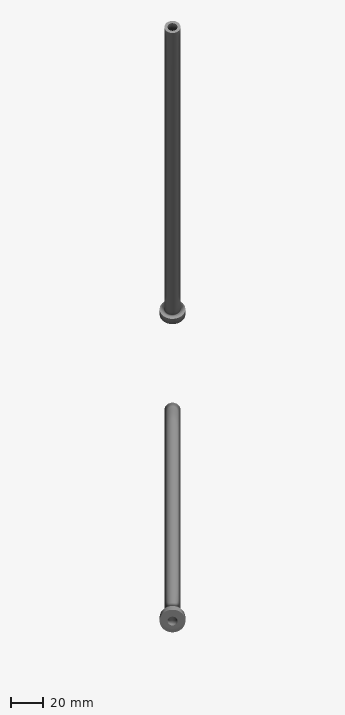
import cadquery as cq

total_length = 275.0
head_diameter = 16.0
head_height = 5.0
tube_diameter = 10.0
bore_diameter = 6.2
root_fillet = 0.5

tube_radius = tube_diameter / 2
head_radius = head_diameter / 2
bore_radius = bore_diameter / 2


def make_sleeve():
    """Revolve the half section of the headed sleeve about the Z axis, head at the bottom."""
    half_section = (
        cq.Workplane("XZ")
        .moveTo(bore_radius, 0)
        .lineTo(head_radius, 0)
        .lineTo(head_radius, head_height)
        .lineTo(tube_radius + root_fillet, head_height)
        .radiusArc((tube_radius, head_height + root_fillet), root_fillet)
        .lineTo(tube_radius, total_length)
        .lineTo(bore_radius, total_length)
        .close()
    )
    return half_section.revolve(360, (0, 0, 0), (0, 1, 0))


result = make_sleeve()